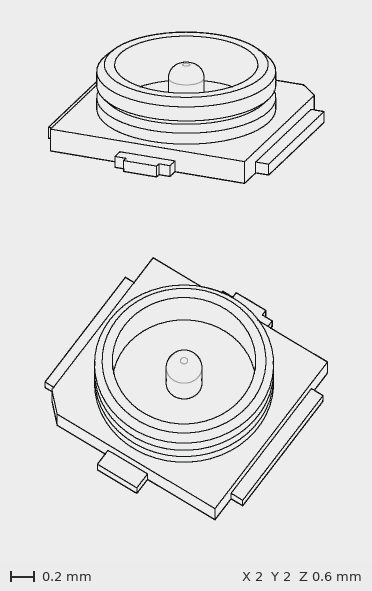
import cadquery as cq

span = 2.0
base_length = 1.765
base_width = 1.68
base_height = 0.2
corner_chamfer = 0.168

tab_height = 0.1
side_tab_width = 1.2
rear_tab_width = 0.4
front_tab_width = 0.5
front_tip_width = 0.3
front_tip_length = 0.052

total_height = 0.6
ring_radius = 0.75
bore_radius = 0.6
rim_radius = 0.685
groove_radius = 0.7
groove_start = 0.3
groove_bottom = 0.36
groove_end = 0.412
rim_chamfer_start = 0.54

pin_radius = 0.15
pin_tip_round = 0.12


def make_base():
    """Rectangular plate with one chamfered corner at +X, +Y."""
    plate = cq.Workplane("XY").rect(base_length, base_width).extrude(base_height)
    return plate.edges("|Z and >X and >Y").chamfer(corner_chamfer)


def make_tab(x_min, x_max, y_min, y_max):
    """Flat tab filling the given rectangle."""
    tab = cq.Workplane("XY").box(x_max - x_min, y_max - y_min, tab_height, centered=False)
    return tab.translate((x_min, y_min, 0))


def make_ring():
    """Revolved contact ring with an outer groove and a chamfered rim."""
    profile = [
        (bore_radius, base_height),
        (ring_radius, base_height),
        (ring_radius, groove_start),
        (groove_radius, groove_bottom),
        (ring_radius, groove_end),
        (ring_radius, rim_chamfer_start),
        (rim_radius, total_height),
        (bore_radius, total_height),
    ]
    return cq.Workplane("XZ").polyline(profile).close().revolve(360, (0, 0), (0, 1))


def make_pin():
    """Cylindrical pin whose rounded tip leaves a small flat on top."""
    pin = cq.Workplane("XY").circle(pin_radius).extrude(total_height)
    return pin.faces(">Z").edges().fillet(pin_tip_round)


tabs = [
    make_tab(-span / 2, span / 2, -side_tab_width / 2, side_tab_width / 2),
    make_tab(-rear_tab_width / 2, rear_tab_width / 2, 0, span / 2),
    make_tab(-front_tab_width / 2, front_tab_width / 2, front_tip_length - span / 2, 0),
    make_tab(-front_tip_width / 2, front_tip_width / 2, -span / 2, 0),
]

result = make_base()
for tab in tabs:
    result = result.union(tab)
result = result.union(make_ring()).union(make_pin())